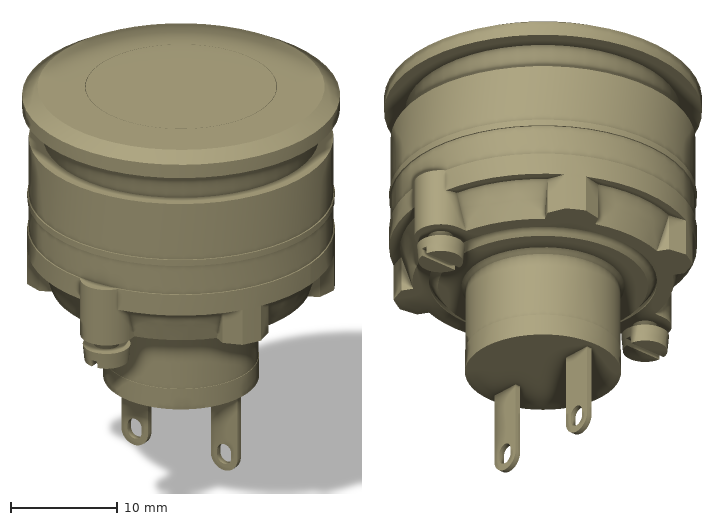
import cadquery as cq
import math


total_height = 38.8
bezel_height = 2.25
bezel_chamfer_height = 0.85
neck_height = 3.03
band_bottom_z = 27.1
band_height = 0.62
nut_top_z = 24.05
nut_rim_height = 2.17
nut_bottom_z = 18.25
shoulder_z = 17.75
barrel_chamfer_height = 1.0
stem_top_z = 17.23
stem_foot_top_z = 10.67
stem_bottom_z = 8.55

bezel_diameter = 29.95
bezel_top_diameter = 27.05
neck_diameter = 26.0
body_diameter = 28.7
band_diameter = 29.0
barrel_diameter = 21.5
barrel_end_diameter = 19.8
stem_diameter = 14.6
stem_foot_diameter = 14.7
stem_flare_diameter = 15.35

button_diameter = 18.0
button_hole_diameter = 18.1
button_depth = bezel_height

terminal_spacing = 10.0
terminal_width = 3.0
terminal_thickness = 0.6
eye_width = 1.55
eye_length = 2.05
eye_z = 1.7

cone_top_diameter = 26.93
cone_bottom_diameter = 24.6
boss_diameter = 5.0
screw_circle_radius = 13.0
lobe_angles = (30, 150, 210, 330)
boss_angles = (90, 270)
lobe_width = 4.9
lobe_tip_width = 1.98
lobe_shoulder_radius = 13.25

shank_diameter = 2.4
head_top_diameter = 4.5
head_bottom_diameter = 4.2
head_top_z = 17.23
head_height = 1.63
screw_slot_width = 0.62
screw_slot_depth = 0.7

bezel_bottom_z = total_height - bezel_height
body_top_z = bezel_bottom_z - neck_height
boss_radius = boss_diameter / 2
nut_height = nut_top_z - nut_bottom_z
nut_rim_bottom_z = nut_top_z - nut_rim_height
lobe_height = nut_rim_bottom_z - nut_bottom_z
root_x = barrel_end_diameter / 2


def cylinder(diameter, bottom_z, top_z):
    return cq.Workplane("XY").workplane(offset=bottom_z).circle(diameter / 2).extrude(top_z - bottom_z)


def cone(bottom_diameter, top_diameter, bottom_z, top_z):
    profile = [
        (0, bottom_z),
        (bottom_diameter / 2, bottom_z),
        (top_diameter / 2, top_z),
        (0, top_z),
    ]
    return cq.Workplane("XZ").polyline(profile).close().revolve(360, (0, 0), (0, 1))


def make_terminal(x):
    """Flat solder tag with a round tip and an oblong eye."""
    tip_radius = terminal_width / 2
    tag_height = stem_bottom_z - tip_radius
    tag = (
        cq.Workplane("XZ", origin=(x, 0, 0))
        .center(0, tip_radius + tag_height / 2)
        .rect(terminal_width, tag_height)
        .extrude(terminal_thickness / 2, both=True)
    )
    tip = (
        cq.Workplane("XZ", origin=(x, 0, tip_radius))
        .circle(tip_radius)
        .extrude(terminal_thickness / 2, both=True)
    )
    eye = (
        cq.Workplane("XZ", origin=(x, 0, eye_z))
        .slot2D(eye_length, eye_width, 90)
        .extrude(terminal_thickness, both=True)
    )
    return tag.union(tip).cut(eye)


def make_housing():
    """Bezel, neck, banded body, barrel and stem turned about Z, with the two terminals below."""
    profile = [
        (0, total_height),
        (bezel_top_diameter / 2, total_height),
        (bezel_diameter / 2, total_height - bezel_chamfer_height),
        (bezel_diameter / 2, bezel_bottom_z),
        (neck_diameter / 2, bezel_bottom_z),
        (neck_diameter / 2, body_top_z),
        (body_diameter / 2, body_top_z),
        (body_diameter / 2, nut_top_z),
        (barrel_diameter / 2, nut_top_z),
        (barrel_diameter / 2, shoulder_z + barrel_chamfer_height),
        (barrel_end_diameter / 2, shoulder_z),
        (stem_flare_diameter / 2, shoulder_z),
        (stem_diameter / 2, stem_top_z),
        (stem_diameter / 2, stem_foot_top_z),
        (stem_foot_diameter / 2, stem_foot_top_z),
        (stem_foot_diameter / 2, stem_bottom_z),
        (0, stem_bottom_z),
    ]
    housing = cq.Workplane("XZ").polyline(profile).close().revolve(360, (0, 0), (0, 1))
    housing = housing.union(cylinder(band_diameter, band_bottom_z, band_bottom_z + band_height))
    housing = housing.cut(cylinder(button_hole_diameter, total_height - button_depth, total_height))
    for side in (-1, 1):
        housing = housing.union(make_terminal(side * terminal_spacing / 2))
    return housing


def make_button():
    return cylinder(button_diameter, total_height - button_depth, total_height)


def make_lobe(angle):
    """Grip lobe with bevelled shoulders; it hangs below the rim, flush with it at the tip."""
    outline = [
        (root_x, -lobe_width / 2),
        (lobe_shoulder_radius, -lobe_width / 2),
        (math.sqrt((band_diameter / 2) ** 2 - (lobe_tip_width / 2) ** 2), -lobe_tip_width / 2),
    ]
    tip_x, tip_y = outline[-1]
    return (
        cq.Workplane("XY", origin=(0, 0, nut_bottom_z))
        .polyline(outline)
        .threePointArc((band_diameter / 2, 0), (tip_x, -tip_y))
        .lineTo(lobe_shoulder_radius, lobe_width / 2)
        .lineTo(root_x, lobe_width / 2)
        .close()
        .extrude(lobe_height)
        .rotate((0, 0, 0), (0, 0, 1), angle)
    )


def make_boss(angle):
    """Round-ended boss that carries a jack screw."""
    return (
        cq.Workplane("XY", origin=(0, 0, nut_bottom_z))
        .moveTo(root_x, -boss_radius)
        .lineTo(screw_circle_radius, -boss_radius)
        .threePointArc((screw_circle_radius + boss_radius, 0), (screw_circle_radius, boss_radius))
        .lineTo(root_x, boss_radius)
        .close()
        .extrude(nut_height)
        .rotate((0, 0, 0), (0, 0, 1), angle)
    )


def make_screw(angle):
    """Shank and tapered head with a radial driver slot."""
    head_bottom_z = head_top_z - head_height
    shank = cylinder(shank_diameter, head_top_z, nut_bottom_z)
    head = cone(head_bottom_diameter, head_top_diameter, head_bottom_z, head_top_z)
    slot = cq.Workplane("XY", origin=(0, 0, head_bottom_z)).rect(
        head_top_diameter, screw_slot_width
    ).extrude(screw_slot_depth)
    screw = shank.union(head).cut(slot)
    return screw.translate((screw_circle_radius, 0, 0)).rotate((0, 0, 0), (0, 0, 1), angle)


def make_clamp_nut():
    """Rim over a tapered skirt, with lobes and bosses, bored to fit the barrel."""
    skirt = cone(cone_bottom_diameter, cone_top_diameter, nut_bottom_z, nut_rim_bottom_z)
    rim = cylinder(band_diameter, nut_rim_bottom_z, nut_top_z)
    nut = cq.Workplane("XY")
    for angle in lobe_angles:
        nut = nut.add(make_lobe(angle))
    for angle in boss_angles:
        nut = nut.add(make_boss(angle))
    nut = nut.combine().union(rim).union(skirt)
    nut = nut.cut(cylinder(barrel_diameter, nut_bottom_z, nut_top_z))
    for angle in boss_angles:
        nut = nut.union(make_screw(angle))
    return nut


housing = make_housing()
button = make_button()
clamp_nut = make_clamp_nut()

result = cq.Compound.makeCompound([housing.val(), button.val(), clamp_nut.val()])